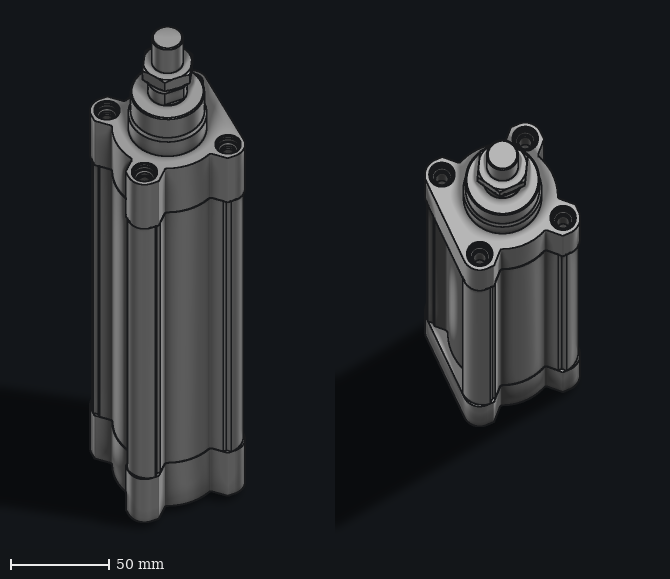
import cadquery as cq
import math

spigot_height = 5.0
barrel_bottom = 37.5
barrel_top = 226.5
cap_top = 260.0
collar_top = 270.8
gland_top = 287.0
flats_bottom = 287.8
shank_top = 296.0
groove_bottom = 297.0
groove_top = 298.3
nut_bottom = 301.5
rod_top = 327.8

body_width = 64.0
cap_core_diameter = 56.5
barrel_core_diameter = 55.7
screw_spacing = 46.5
barrel_corner_radius = 11.5
cap_recess_apex = 12.8
barrel_recess_apex = 12.5
ledge_depth = 2.0
ledge_half_width = 21.3
cap_lip_fillet = 1.3
cap_root_fillet = 1.3
barrel_root_fillet = 2.0

collar_diameter = 40.0
gland_diameter = 37.7
cone_height = 2.0
gland_chamfer = 0.5
spigot_chamfer = 1.0

mouth_diameter = 13.0
recess_diameter = 12.0
recess_depth = 2.0
bore_diameter = 11.5
bore_depth = 4.0
countersink_diameter = 9.8
thread_diameter = 8.0
core_hole_diameter = 6.5
thread_depth = 6.5
core_hole_depth = 19.7
drill_tip_slope = 30
drill_tip_depth = core_hole_diameter / 2 * math.tan(math.radians(drill_tip_slope))

shank_diameter = 20.0
shank_flats = 17.0
thread_rod_diameter = 16.0
thread_root_diameter = 14.5
groove_diameter = 13.8
rod_chamfer = 0.5
rod_seat = cap_top

nut_height = 8.0
nut_width = 24.3
nut_face_diameter = 25.0
nut_bevel_angle = 30
bevel_overhang = 3.3

half_width = body_width / 2
cap_corner_radius = (body_width - screw_spacing) / 2
nut_corners = nut_width / math.cos(math.radians(30))
ledge_floor_half = ledge_half_width - ledge_depth

ledge_outline = [
    (-ledge_half_width, -half_width),
    (ledge_half_width, -half_width),
    (ledge_floor_half, ledge_depth - half_width),
    (-ledge_floor_half, ledge_depth - half_width),
]


def cylinder(diameter, bottom, top):
    return cq.Workplane("XY").workplane(offset=bottom).circle(diameter / 2).extrude(top - bottom)


def rounded_block(bottom, top, corner_radius):
    block = cq.Workplane("XY").workplane(offset=bottom).rect(body_width, body_width).extrude(top - bottom)
    return block.edges("|Z").fillet(corner_radius)


def side_cutter(points, bottom, top, angle):
    """Prism with the given outline on the -Y side, turned about the axis."""
    prism = cq.Workplane("XY").workplane(offset=bottom).polyline(points).close().extrude(top - bottom)
    return prism.rotate((0, 0, 0), (0, 0, 1), angle)


def recess_outline(apex):
    """Triangle open to the -Y side, its 45 degree walls meeting at the given distance from the axis."""
    mouth = half_width - apex
    return [(0, -apex), (mouth, -half_width), (-mouth, -half_width)]


def upright_edges(body, radius):
    """Upright edges whose distance from the axis is the given radius."""
    tolerance = 0.05
    return body.edges("|Z").filter(
        lambda edge: abs(math.hypot(edge.Center().x, edge.Center().y) - radius) < tolerance
    )


def cap(bottom, top):
    """End cap: recessed on three sides and flat on the +Y side."""
    body = rounded_block(bottom, top, cap_corner_radius)
    for angle in (0, 90, 270):
        body = body.cut(side_cutter(recess_outline(cap_recess_apex), bottom, top, angle))
    lip_radius = math.hypot(half_width - cap_recess_apex, half_width)
    body = upright_edges(body, lip_radius).fillet(cap_lip_fillet)
    body = body.union(cylinder(cap_core_diameter, bottom, top))
    return upright_edges(body, cap_core_diameter / 2).fillet(cap_root_fillet)


def barrel():
    """Profiled barrel, the same on all four sides."""
    body = rounded_block(barrel_bottom, barrel_top, barrel_corner_radius)
    for angle in (0, 90, 180, 270):
        body = body.cut(side_cutter(recess_outline(barrel_recess_apex), barrel_bottom, barrel_top, angle))
        body = body.cut(side_cutter(ledge_outline, barrel_bottom, barrel_top, angle))
    body = body.union(cylinder(barrel_core_diameter, barrel_bottom, barrel_top))
    return upright_edges(body, barrel_core_diameter / 2).fillet(barrel_root_fillet)


def screw_hole():
    """Stepped hole with 45 degree mouths and a drill-point bottom, revolved about its own axis."""
    mouth = mouth_diameter / 2
    recess = recess_diameter / 2
    bore = bore_diameter / 2
    countersink = countersink_diameter / 2
    thread = thread_diameter / 2
    core_hole = core_hole_diameter / 2
    outline = [
        (0, 0),
        (mouth, 0),
        (recess, recess - mouth),
        (recess, -recess_depth),
        (bore, -recess_depth),
        (bore, -bore_depth),
        (countersink, -bore_depth),
        (thread, -bore_depth - (countersink - thread)),
        (thread, -thread_depth),
        (core_hole, -thread_depth - (thread - core_hole)),
        (core_hole, -core_hole_depth),
        (0, -core_hole_depth - drill_tip_depth),
    ]
    hole = cq.Workplane("XZ").polyline(outline).close().revolve(360, (0, 0, 0), (0, 1, 0))
    return hole.translate((0, 0, cap_top))


def housing_body():
    spigot = cylinder(collar_diameter, 0, spigot_height).faces("<Z").chamfer(spigot_chamfer)
    collar = cylinder(collar_diameter, cap_top, collar_top)
    cone = cq.Workplane(
        cq.Solid.makeCone(collar_diameter / 2, gland_diameter / 2, cone_height, cq.Vector(0, 0, collar_top))
    )
    gland = cylinder(gland_diameter, collar_top, gland_top).faces(">Z").chamfer(gland_chamfer)
    body = barrel()
    for piece in (cap(spigot_height, barrel_bottom), cap(barrel_top, cap_top), spigot, collar, cone, gland):
        body = body.union(piece)
    for x in (-screw_spacing / 2, screw_spacing / 2):
        for y in (-screw_spacing / 2, screw_spacing / 2):
            body = body.cut(screw_hole().translate((x, y, 0)))
    return body.cut(cylinder(shank_diameter, rod_seat, gland_top))


def piston_rod():
    shank = cylinder(shank_diameter, rod_seat, shank_top)
    across_flats = (
        cq.Workplane("XY").workplane(offset=flats_bottom)
        .rect(shank_flats, shank_diameter).extrude(shank_top - flats_bottom)
    )
    shank = shank.intersect(across_flats.union(cylinder(shank_diameter, rod_seat, flats_bottom)))
    lower_root = cylinder(thread_root_diameter, shank_top, groove_bottom)
    groove = cylinder(groove_diameter, groove_bottom, groove_top)
    upper_root = cylinder(thread_root_diameter, groove_top, nut_bottom)
    thread = cylinder(thread_rod_diameter, nut_bottom, rod_top).faces(">Z").chamfer(rod_chamfer)
    return shank.union(lower_root).union(groove).union(upper_root).union(thread)


def lock_nut():
    """Hexagon nut with corners on the Y axis, its corners bevelled at both ends."""
    top = nut_bottom + nut_height
    bevel_radius = nut_corners / 2 + bevel_overhang
    bevel = (bevel_radius - nut_face_diameter / 2) * math.tan(math.radians(nut_bevel_angle))
    hexagon = (
        cq.Workplane("XY").workplane(offset=nut_bottom).polygon(6, nut_corners).extrude(nut_height)
        .rotate((0, 0, 0), (0, 0, 1), 30)
    )
    bevelled = (
        cq.Workplane("XZ")
        .polyline([
            (0, nut_bottom), (nut_face_diameter / 2, nut_bottom), (bevel_radius, nut_bottom + bevel),
            (bevel_radius, top - bevel), (nut_face_diameter / 2, top), (0, top),
        ])
        .close()
        .revolve(360, (0, 0, 0), (0, 1, 0))
    )
    return hexagon.intersect(bevelled).cut(cylinder(thread_rod_diameter, nut_bottom, top))


housing = housing_body()
rod = piston_rod()
nut = lock_nut()
result = cq.Compound.makeCompound([housing.val(), rod.val(), nut.val()])